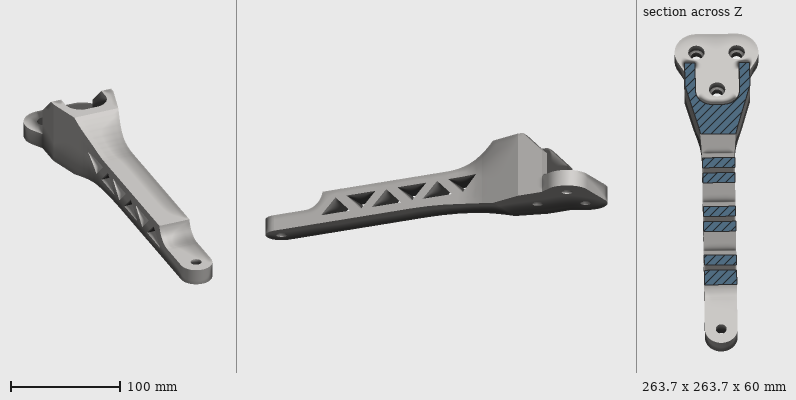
import cadquery as cq
import math

ARM_ANGLE = -45.0

body_height = 60.0
plate_thickness = 15.0
cheek_front_height = 40.0
arm_bottom = 10.0
arm_top = 40.0
tip_thickness = 15.0
tip_top = arm_bottom + tip_thickness

pair_hole_x = -40.0
plate_corner_radius = 20.0
plate_flank_angle = 30.0
bolt_diameter = 10.0
counterbore_diameter = 15.0
counterbore_depth = 8.0

cheek_front_x = -20.0
cheek_top_start_x = 0.0
block_half_width = 30.0
block_straight_end_x = 5.0
taper_angle = 15.0
slot_half_width = 20.0
slot_end_x = 25.0
slot_corner_radius = 15.0

tip_hole_x = 265.0
tip_hole_diameter = 10.0
arm_half_width = 15.0
taper_blend_radius = 100.0
block_top_end_x = 35.0
top_scoop_radius = 75.0
bottom_scoop_radius = 400.0
tip_step_x = 215.0
tip_scoop_radius = 18.0

window_count = 6
window_first_x = 70.0
window_pitch = 26.3
window_base = 30.0
window_height = 15.0

flank = math.radians(plate_flank_angle)
flank_run = cheek_front_x - pair_hole_x
pair_hole_y = block_half_width - (plate_corner_radius - flank_run * math.sin(flank)) / math.cos(flank)

taper_end_x = block_straight_end_x + (block_half_width - arm_half_width) / math.tan(math.radians(taper_angle))


def scoop_arc(radius, drop):
    """Run of an arc ending level after the given drop, then its midpoint's distances from that end."""
    sweep = math.acos(1 - drop / radius)
    run = radius * math.sin(sweep)
    mid_run = radius * math.sin(sweep / 2)
    mid_rise = radius * (1 - math.cos(sweep / 2))
    return run, mid_run, mid_rise


def make_side_profile():
    """Extrude the side outline of the block and arm across the full block width."""
    top_run, top_mid_run, top_mid_rise = scoop_arc(top_scoop_radius, body_height - arm_top)
    tip_run, tip_mid_run, tip_mid_rise = scoop_arc(tip_scoop_radius, arm_top - tip_top)
    low_run, low_mid_run, low_mid_rise = scoop_arc(bottom_scoop_radius, arm_bottom)
    top_end = block_top_end_x + top_run
    tip_start = tip_step_x + tip_run
    low_end = block_top_end_x + low_run
    tip_end = tip_hole_x + arm_half_width
    return (
        cq.Workplane("XZ")
        .moveTo(cheek_front_x, 0)
        .lineTo(cheek_front_x, cheek_front_height)
        .lineTo(cheek_top_start_x, body_height)
        .lineTo(block_top_end_x, body_height)
        .threePointArc((top_end - top_mid_run, arm_top + top_mid_rise), (top_end, arm_top))
        .lineTo(tip_step_x, arm_top)
        .threePointArc((tip_start - tip_mid_run, tip_top + tip_mid_rise), (tip_start, tip_top))
        .lineTo(tip_end, tip_top)
        .lineTo(tip_end, arm_bottom)
        .lineTo(low_end, arm_bottom)
        .threePointArc((low_end - low_mid_run, arm_bottom - low_mid_rise), (block_top_end_x, 0))
        .close()
        .extrude(block_half_width, both=True)
    )


def make_plan_outline():
    """Extrude the plan outline of the block and arm, with the taper blended into the arm."""
    outline = (
        cq.Workplane("XY")
        .moveTo(cheek_front_x, -block_half_width)
        .lineTo(block_straight_end_x, -block_half_width)
        .lineTo(taper_end_x, -arm_half_width)
        .lineTo(tip_hole_x, -arm_half_width)
        .threePointArc((tip_hole_x + arm_half_width, 0), (tip_hole_x, arm_half_width))
        .lineTo(taper_end_x, arm_half_width)
        .lineTo(block_straight_end_x, block_half_width)
        .lineTo(cheek_front_x, block_half_width)
        .close()
        .extrude(body_height)
    )
    for side in (-1, 1):
        point = (taper_end_x, side * arm_half_width, body_height / 2)
        outline = outline.edges(cq.selectors.NearestToPointSelector(point)).fillet(taper_blend_radius)
    return outline


def make_plate():
    """Mounting plate: two round corners, a straight back edge and flanks meeting the block."""
    back_x = pair_hole_x - plate_corner_radius
    tangent_x = pair_hole_x + plate_corner_radius * math.sin(flank)
    tangent_y = pair_hole_y + plate_corner_radius * math.cos(flank)
    arc_middle = (math.pi / 2 - flank + math.pi) / 2
    middle_x = pair_hole_x + plate_corner_radius * math.cos(arc_middle)
    middle_y = pair_hole_y + plate_corner_radius * math.sin(arc_middle)
    return (
        cq.Workplane("XY")
        .moveTo(cheek_front_x, block_half_width)
        .lineTo(tangent_x, tangent_y)
        .threePointArc((middle_x, middle_y), (back_x, pair_hole_y))
        .lineTo(back_x, -pair_hole_y)
        .threePointArc((middle_x, -middle_y), (tangent_x, -tangent_y))
        .lineTo(cheek_front_x, -block_half_width)
        .close()
        .extrude(plate_thickness)
    )


def make_slot():
    """Clevis slot, open toward the plate, standing on the plate's top face."""
    return (
        cq.Workplane("XY", origin=(0, 0, plate_thickness))
        .moveTo(cheek_front_x, -slot_half_width)
        .lineTo(slot_end_x, -slot_half_width)
        .lineTo(slot_end_x, slot_half_width)
        .lineTo(cheek_front_x, slot_half_width)
        .close()
        .extrude(body_height - plate_thickness)
        .edges("|Z and >X")
        .fillet(slot_corner_radius)
    )


def make_window(index):
    """One triangular window; the triangles alternate between point down and point up."""
    center_x = window_first_x + index * window_pitch
    center_z = (arm_bottom + arm_top) / 2
    point_direction = -1 if index % 2 == 0 else 1
    point_z = center_z + point_direction * window_height / 2
    base_z = center_z - point_direction * window_height / 2
    corners = [
        (center_x - window_base / 2, base_z),
        (center_x + window_base / 2, base_z),
        (center_x, point_z),
    ]
    return cq.Workplane("XZ").polyline(corners).close().extrude(block_half_width, both=True)


def drill_holes(part):
    """Three counterbored bolt holes in the plate and a plain hole in the tip."""
    bolt_points = [(0, 0), (pair_hole_x, pair_hole_y), (pair_hole_x, -pair_hole_y)]
    bolt_holes = cq.Workplane("XY").pushPoints(bolt_points).circle(bolt_diameter / 2).extrude(plate_thickness)
    counterbores = (
        cq.Workplane("XY", origin=(0, 0, plate_thickness - counterbore_depth))
        .pushPoints(bolt_points)
        .circle(counterbore_diameter / 2)
        .extrude(counterbore_depth)
    )
    tip_hole = cq.Workplane("XY").center(tip_hole_x, 0).circle(tip_hole_diameter / 2).extrude(body_height)
    return part.cut(bolt_holes).cut(counterbores).cut(tip_hole)


part = make_side_profile().intersect(make_plan_outline())
part = part.cut(make_slot()).union(make_plate())
for window_index in range(window_count):
    part = part.cut(make_window(window_index))
part = drill_holes(part)

result = part.rotate((0, 0, 0), (0, 0, 1), ARM_ANGLE)